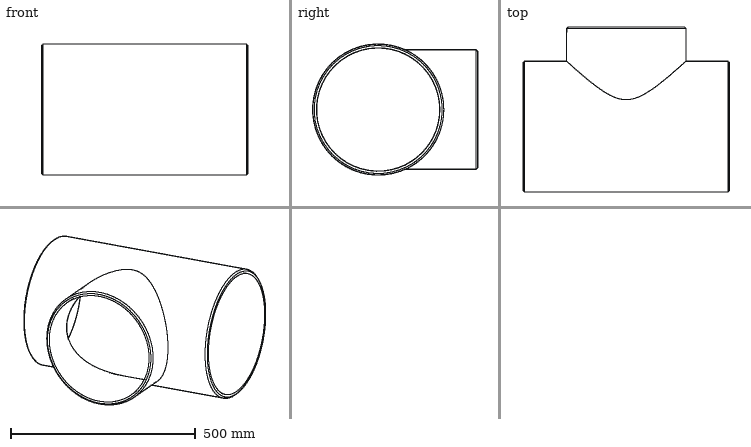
import cadquery as cq

run_length = 559.0
run_diameter = 355.5
run_wall = 11.0
branch_diameter = 324.0
branch_wall = 10.0
branch_reach = 270.0
bevel = 4.5

run_bore = run_diameter - 2 * run_wall
branch_bore = branch_diameter - 2 * branch_wall


def run_cylinder(diameter):
    """Cylinder along X, centred on the origin."""
    start = cq.Workplane("YZ", origin=(-run_length / 2, 0, 0))
    return start.circle(diameter / 2).extrude(run_length)


def branch_cylinder(diameter):
    """Cylinder from the run axis to the branch end face at +Y."""
    return cq.Workplane("XZ").circle(diameter / 2).extrude(-branch_reach)


run = run_cylinder(run_diameter).faces("|X").edges().chamfer(bevel)
branch = branch_cylinder(branch_diameter).faces(">Y").edges().chamfer(bevel)
body = run.union(branch)

result = body.cut(run_cylinder(run_bore)).cut(branch_cylinder(branch_bore))